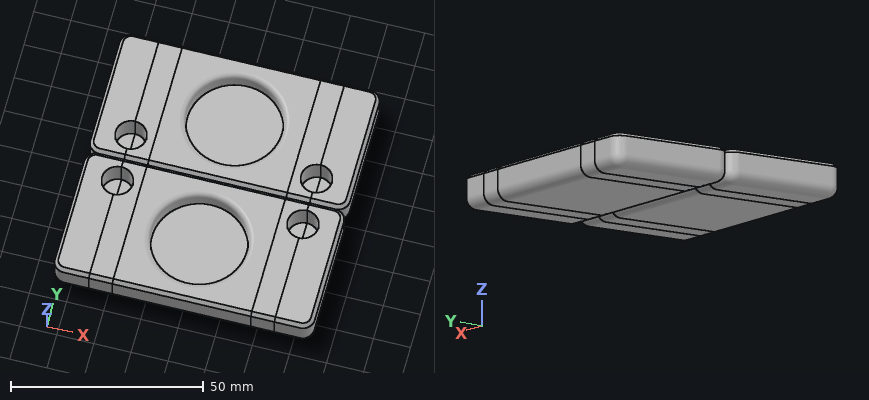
import cadquery as cq

pair_length = 72.0
plate_width = 70.0
plate_thickness = 9.2
plate_depth = pair_length / 2
plate_center_y = plate_depth / 2

corner_radius = 3.2
bottom_fillet = corner_radius
top_chamfer = 1.0

recess_diameter = 25.4
recess_depth = 4.6
recess_rim_fillet = 1.6

hole_diameter = 8.3
hole_depth = 7.2
hole_joint_distance = 6.9

inner_seam_x = 18.65
outer_seam_x = 25.0


def make_blank():
    """Plain rounded plate on the +Y side of the joint."""
    return (
        cq.Workplane("XY")
        .center(0, plate_center_y)
        .rect(plate_width, plate_depth)
        .extrude(plate_thickness)
        .edges("|Z").fillet(corner_radius)
        .faces(">Z").edges().chamfer(top_chamfer)
        .faces("<Z").edges().fillet(bottom_fillet)
    )


def cut_recess(plate):
    """Sink the round recess into the top face and round over its rim."""
    recess_floor_z = plate_thickness - recess_depth
    recess = (
        cq.Workplane("XY", origin=(0, plate_center_y, recess_floor_z))
        .circle(recess_diameter / 2)
        .extrude(recess_depth)
    )
    rim = cq.selectors.RadiusNthSelector(-1)
    return plate.cut(recess).faces(">Z").edges("%CIRCLE").edges(rim).fillet(recess_rim_fillet)


def cut_holes(plate):
    """Sink the two blind holes, centred on the outer seams."""
    hole_floor_z = plate_thickness - hole_depth
    holes = (
        cq.Workplane("XY", origin=(0, hole_joint_distance, hole_floor_z))
        .pushPoints([(-outer_seam_x, 0), (outer_seam_x, 0)])
        .circle(hole_diameter / 2)
        .extrude(hole_depth)
    )
    return plate.cut(holes)


def make_strip(plate, left_x, right_x):
    """Part of the plate between two X positions."""
    slab = (
        cq.Workplane("XY")
        .center((left_x + right_x) / 2, plate_center_y)
        .rect(right_x - left_x, plate_depth)
        .extrude(plate_thickness)
    )
    return plate.intersect(slab)


plate = cut_holes(cut_recess(make_blank()))
end_strip = make_strip(plate, outer_seam_x, plate_width / 2)
bridge_strip = make_strip(plate, inner_seam_x, outer_seam_x)
center_strip = make_strip(plate, -inner_seam_x, inner_seam_x)

strips = [center_strip]
for side_strip in (bridge_strip, end_strip):
    strips += [side_strip, side_strip.mirror("YZ")]

bodies = []
for strip in strips:
    bodies += [strip.val(), strip.mirror("XZ").val()]

result = cq.Compound.makeCompound(bodies)